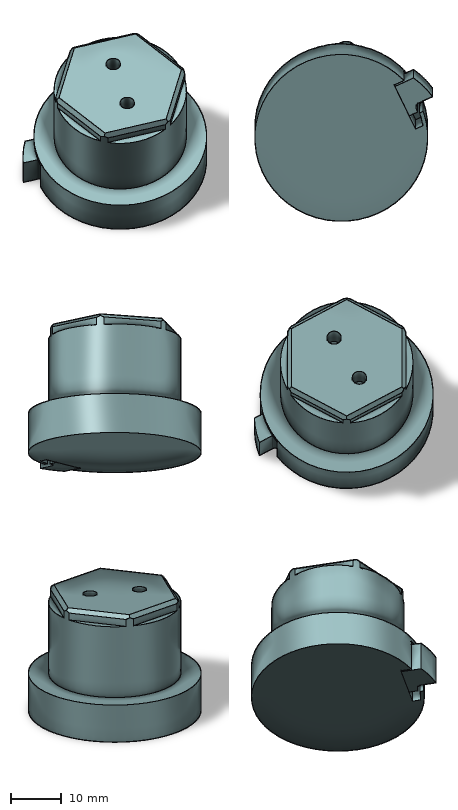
import cadquery as cq
import math

flange_diameter = 34.2
flange_height = 7.95
barrel_diameter = 26.2
barrel_top = 23.02
total_height = 25.3
hex_across_flats = 23.4
hex_chamfer = 0.78

hole_diameter = 2.8
hole_spacing = 10.0
hole_depth = 5.0

latch_left = -5.05
latch_right = 1.63
tab_right = 0.05
latch_height = 6.45
tab_left_y = -18.15
root_fillet = 1.0

rim_thickness = 0.78
window_clearance = 0.35
window_height = 7.05
chamber_right = 4.6
chamber_back_y = -14.1

overall_length = 37.07

flange_radius = flange_diameter / 2
barrel_radius = barrel_diameter / 2
tab_tip_y = flange_radius - overall_length
chamber_radius = flange_radius - rim_thickness
arm_radius = chamber_radius - window_clearance
window_left = latch_left - window_clearance
window_right = latch_right + window_clearance


def front_block(left, right, height):
    """Block from the chamber's back wall out past the flange, standing on Z = 0."""
    front_y = -flange_diameter
    return cq.Workplane("XY").box(
        right - left, chamber_back_y - front_y, height, centered=False
    ).translate((left, front_y, 0))


def make_head():
    """Hexagon with its corners trimmed by the barrel and its top edges chamfered."""
    height = total_height - barrel_top
    hexagon = (
        cq.Workplane("XY", origin=(0, 0, barrel_top))
        .transformed(rotate=(0, 0, 90))
        .polygon(6, hex_across_flats / math.cos(math.pi / 6))
        .extrude(height)
        .faces(">Z")
        .chamfer(hex_chamfer)
    )
    trim = cq.Workplane("XY", origin=(0, 0, barrel_top)).circle(barrel_radius).extrude(height)
    return hexagon.intersect(trim)


def make_latch_space():
    """Window in the rim and the wider chamber inside the rim, both open at the bottom."""
    window = front_block(window_left, window_right, window_height)
    inside_rim = cq.Workplane("XY").circle(chamber_radius).extrude(window_height)
    chamber = front_block(window_left, chamber_right, window_height).intersect(inside_rim)
    return window.union(chamber)


def make_housing():
    body = cq.Workplane("XY").circle(flange_radius).extrude(flange_height)
    barrel = cq.Workplane("XY").circle(barrel_radius).extrude(barrel_top)
    body = body.union(barrel).union(make_head())

    holes = (
        cq.Workplane("XY", origin=(0, 0, total_height - hole_depth))
        .pushPoints([(-hole_spacing / 2, 0), (hole_spacing / 2, 0)])
        .circle(hole_diameter / 2)
        .extrude(hole_depth)
    )
    return body.cut(holes).cut(make_latch_space())


def make_latch():
    """Tab with a curved outer face, and a short arm beside it joined by a fillet."""
    chord_x = tab_right - latch_left
    chord_y = tab_tip_y - tab_left_y
    chord = math.hypot(chord_x, chord_y)
    bulge = flange_radius - math.sqrt(flange_radius**2 - (chord / 2) ** 2)
    arc_middle = (
        (latch_left + tab_right) / 2 + bulge * chord_y / chord,
        (tab_left_y + tab_tip_y) / 2 - bulge * chord_x / chord,
    )

    center_x = tab_right + root_fillet
    center_distance = arm_radius + root_fillet
    center_y = -math.sqrt(center_distance**2 - center_x**2)
    fillet_start = (tab_right, center_y)
    fillet_end = (center_x * arm_radius / center_distance, center_y * arm_radius / center_distance)
    end_angle = math.atan2(fillet_end[1] - center_y, fillet_end[0] - center_x)
    middle_angle = (math.pi + end_angle) / 2
    fillet_middle = (
        center_x + root_fillet * math.cos(middle_angle),
        center_y + root_fillet * math.sin(middle_angle),
    )

    arm_end_y = -math.sqrt(arm_radius**2 - latch_right**2)
    profile = (
        cq.Workplane("XY")
        .moveTo(latch_left, chamber_back_y)
        .lineTo(latch_left, tab_left_y)
        .threePointArc(arc_middle, (tab_right, tab_tip_y))
        .lineTo(*fillet_start)
        .threePointArc(fillet_middle, fillet_end)
        .radiusArc((latch_right, arm_end_y), -arm_radius)
        .lineTo(latch_right, chamber_back_y)
        .close()
    )
    return profile.extrude(latch_height)


housing = make_housing()
latch = make_latch()

result = cq.Compound.makeCompound([housing.val(), latch.val()])